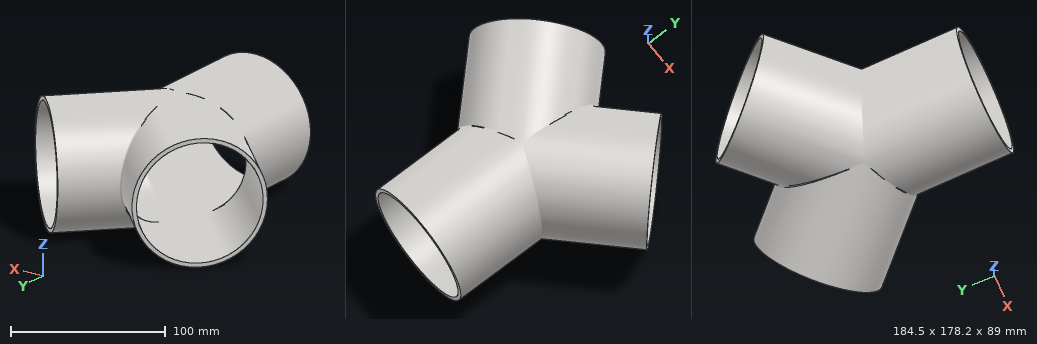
import cadquery as cq
import math

overall_width = 184.5
outer_diameter = 89.0
inner_diameter = 83.0
branch_angle = 45.0
outer_seam_radius = 1.0
inner_seam_radius = 3.5

tilt = math.radians(branch_angle)
leg_length = (overall_width / 2 - outer_diameter / 2 * math.cos(tilt)) / math.sin(tilt)

stem_mitre = (180 - branch_angle) / 2
crotch_mitre = branch_angle


def mitred_leg(diameter, left_mitre, right_mitre, turn):
    """Solid leg along -Y, mitred on its -X and +X sides, then turned about Z."""
    overrun = diameter
    cylinder = (
        cq.Workplane("XZ", origin=(0, overrun, 0))
        .circle(diameter / 2)
        .extrude(overrun + leg_length)
    )
    left_edge_y = -diameter / math.tan(math.radians(left_mitre))
    right_edge_y = -diameter / math.tan(math.radians(right_mitre))
    far_y = -2 * leg_length
    mitre_wedge = (
        cq.Workplane("XY")
        .polyline([
            (0, 0),
            (-diameter, left_edge_y),
            (-diameter, far_y),
            (diameter, far_y),
            (diameter, right_edge_y),
        ])
        .close()
        .extrude(diameter, both=True)
    )
    leg = cylinder.intersect(mitre_wedge, clean=False)
    return leg.rotate((0, 0, 0), (0, 0, 1), turn)


def wye(diameter, seam_radius):
    """Solid Y of three equal round legs, with rounded seams between them."""
    stem = mitred_leg(diameter, stem_mitre, stem_mitre, 0)
    right_branch = mitred_leg(diameter, stem_mitre, crotch_mitre, 180 - branch_angle)
    left_branch = mitred_leg(diameter, crotch_mitre, stem_mitre, 180 + branch_angle)
    body = stem.union(right_branch, clean=False).union(left_branch, clean=False)
    return body.edges("%ELLIPSE").fillet(seam_radius)


outer_body = wye(outer_diameter, outer_seam_radius)
bore = wye(inner_diameter, inner_seam_radius)
result = outer_body.cut(bore).solids()